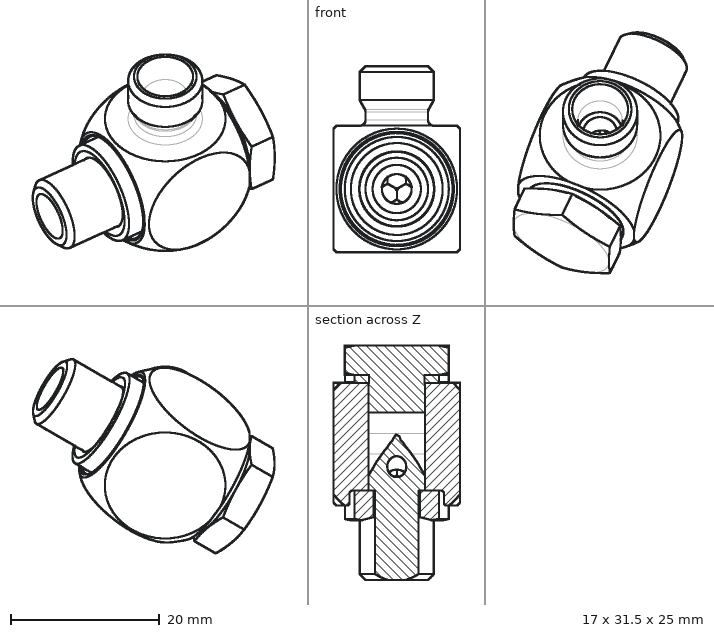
import cadquery as cq
import math


cube_size = 17.0
cube_half = cube_size / 2
back_y = 8.0
front_y = -cube_half
corner_ball_radius = 11.75
bolt_bore_diameter = 11.0

recess_diameter = 15.0
recess_depth = 2.02
recess_chamfer = 0.2
recess_fillet = 0.4
recess_floor_y = front_y + recess_depth

port_diameter = 10.0
port_height = 8.0
port_chamfer = 0.8
port_thread_length = 4.57
neck_diameter = 8.4
neck_top_depth = 6.0
neck_fillet = 0.75
port_root_fillet = 0.8
port_mouth_diameter = 7.5
pipe_bore_diameter = 6.0
pipe_bore_depth = 7.0
port_bore_diameter = 4.5
pipe_seat_half_angle = 12.0
port_top_z = cube_half + port_height

hex_width = 14.0
hex_thickness = 4.0
hex_chamfer_angle = 15.0
shank_diameter = 10.95
thread_diameter = 10.0
thread_end_chamfer = 0.8
back_ring_thickness = 1.0
bolt_front_y = -18.5
hex_front_y = back_y + back_ring_thickness
hex_back_y = hex_front_y + hex_thickness

bolt_neck_diameter = 8.0
bolt_neck_back_y = 4.0
bolt_neck_cone_angle = 20.0
bolt_neck_arc_radius = 8.0
bolt_neck_arc_back_y = 1.15

bolt_mouth_diameter = 6.5
bolt_mouth_half_angle = 9.0
bolt_passage_diameter = 4.0
passage_tip_y = -3.62
drill_half_angle = 59.0
cross_hole_diameter = 2.5
cross_hole_root_y = -5.15
cross_hole_tilt = 25.0
cross_hole_count = 3

ring_diameter = 14.0
front_ring_inner_diameter = 10.1
front_ring_lip_diameter = 12.35
front_ring_protrusion = 2.0
front_ring_bevel = 0.2
front_ring_funnel_angle = 70.0
back_ring_chamfer = 0.1


def tan(degrees):
    return math.tan(math.radians(degrees))


def turned(profile):
    """Close a (radius, height) profile and revolve it about the upright axis of its workplane."""
    return profile.close().revolve(360, (0, 0, 0), (0, 1, 0))


def round_solid_y(points):
    """Solid of revolution about the Y axis from (radius, y) corners."""
    return turned(cq.Workplane("XY").polyline(points))


def round_solid_z(points):
    """Solid of revolution about the Z axis from (radius, z) corners."""
    return turned(cq.Workplane("XZ").polyline(points))


def make_port():
    """Port stub: root fillet, neck, cone up to the thread and chamfered end."""
    radius = port_diameter / 2
    neck_radius = neck_diameter / 2
    neck_top_z = port_top_z - neck_top_depth
    thread_bottom_z = port_top_z - port_thread_length

    flare = math.atan2(radius - neck_radius, thread_bottom_z - neck_top_z)
    tangent = neck_fillet * math.tan(flare / 2)
    arc_centre_r = neck_radius + neck_fillet
    arc_start_z = neck_top_z - tangent

    def on_arc(angle):
        return (arc_centre_r - neck_fillet * math.cos(angle), arc_start_z + neck_fillet * math.sin(angle))

    root_radius = neck_radius + port_root_fillet
    root_top_z = cube_half + port_root_fillet
    root_mid = port_root_fillet * math.sqrt(0.5)
    profile = (
        cq.Workplane("XZ")
        .moveTo(0, 0)
        .lineTo(root_radius, 0)
        .lineTo(root_radius, cube_half)
        .threePointArc((root_radius - root_mid, root_top_z - root_mid), (neck_radius, root_top_z))
        .lineTo(neck_radius, arc_start_z)
        .threePointArc(on_arc(flare / 2), on_arc(flare))
        .lineTo(radius, thread_bottom_z)
        .lineTo(radius, port_top_z - port_chamfer)
        .lineTo(radius - port_chamfer, port_top_z)
        .lineTo(0, port_top_z)
    )
    return turned(profile)


def make_port_passage():
    """Conical pipe seat, pipe bore with its stop, and the bore down to the bolt."""
    mouth_radius = port_mouth_diameter / 2
    pipe_radius = pipe_bore_diameter / 2
    bore_radius = port_bore_diameter / 2
    cone_depth = (mouth_radius - pipe_radius) / tan(pipe_seat_half_angle)
    return round_solid_z([
        (0, 0),
        (bore_radius, 0),
        (bore_radius, port_top_z - pipe_bore_depth),
        (pipe_radius, port_top_z - pipe_bore_depth),
        (pipe_radius, port_top_z - cone_depth),
        (mouth_radius, port_top_z),
        (0, port_top_z),
    ])


def make_bolt_passage():
    """Bolt bore through the housing with the filleted front recess."""
    bore_radius = bolt_bore_diameter / 2
    recess_radius = recess_diameter / 2
    fillet_mid = recess_fillet * (1 - math.sqrt(0.5))
    profile = (
        cq.Workplane("XY")
        .moveTo(0, back_y)
        .lineTo(bore_radius, back_y)
        .lineTo(bore_radius, recess_floor_y)
        .lineTo(recess_radius - recess_fillet, recess_floor_y)
        .threePointArc(
            (recess_radius - fillet_mid, recess_floor_y - fillet_mid),
            (recess_radius, recess_floor_y - recess_fillet),
        )
        .lineTo(recess_radius, front_y + recess_chamfer)
        .lineTo(recess_radius + recess_chamfer, front_y)
        .lineTo(0, front_y)
    )
    return turned(profile)


def make_housing():
    block = cq.Workplane("XY").box(cube_size, back_y - front_y, cube_size)
    block = block.translate((0, (back_y + front_y) / 2, 0))
    block = block.intersect(cq.Workplane("XY").sphere(corner_ball_radius))
    return block.union(make_port()).cut(make_bolt_passage()).cut(make_port_passage())


def make_hex_head():
    """Hexagon with two corners on the Z axis, both ends chamfered."""
    corner_radius = hex_width / math.sqrt(3)
    flat_radius = hex_width / 2
    chamfer = (corner_radius - flat_radius) * tan(hex_chamfer_angle)
    prism = (
        cq.Workplane("XZ", origin=(0, hex_back_y, 0))
        .polygon(6, 2 * corner_radius)
        .extrude(hex_thickness)
        .rotate((0, 0, 0), (0, 1, 0), 90)
    )
    chamfer_shape = round_solid_y([
        (0, hex_front_y),
        (flat_radius, hex_front_y),
        (corner_radius, hex_front_y + chamfer),
        (corner_radius, hex_back_y - chamfer),
        (flat_radius, hex_back_y),
        (0, hex_back_y),
    ])
    return prism.intersect(chamfer_shape)


def make_shank():
    """Shank with a reduced neck and a cone in front of it, stepping down to the chamfered thread."""
    shank_radius = shank_diameter / 2
    thread_radius = thread_diameter / 2
    neck_radius = bolt_neck_diameter / 2
    cone_angle = math.radians(bolt_neck_cone_angle)

    def on_arc(angle):
        return (
            neck_radius + bolt_neck_arc_radius * (1 - math.cos(angle)),
            bolt_neck_arc_back_y - bolt_neck_arc_radius * math.sin(angle),
        )

    cone_back_radius, cone_back_y = on_arc(cone_angle)
    cone_length = (shank_radius - cone_back_radius) / math.tan(cone_angle)
    profile = (
        cq.Workplane("XY")
        .moveTo(0, hex_front_y)
        .lineTo(shank_radius, hex_front_y)
        .lineTo(shank_radius, bolt_neck_back_y)
        .lineTo(neck_radius, bolt_neck_back_y)
        .lineTo(neck_radius, bolt_neck_arc_back_y)
        .threePointArc(on_arc(cone_angle / 2), (cone_back_radius, cone_back_y))
        .lineTo(shank_radius, cone_back_y - cone_length)
        .lineTo(shank_radius, recess_floor_y)
        .lineTo(thread_radius, recess_floor_y)
        .lineTo(thread_radius, bolt_front_y + thread_end_chamfer)
        .lineTo(thread_radius - thread_end_chamfer, bolt_front_y)
        .lineTo(0, bolt_front_y)
    )
    return turned(profile)


def make_blind_passage():
    """Blind bore from the bolt end: conical mouth and drill-point bottom."""
    mouth_radius = bolt_mouth_diameter / 2
    passage_radius = bolt_passage_diameter / 2
    cone_depth = (mouth_radius - passage_radius) / tan(bolt_mouth_half_angle)
    point_length = passage_radius / tan(drill_half_angle)
    return round_solid_y([
        (0, bolt_front_y),
        (mouth_radius, bolt_front_y),
        (passage_radius, bolt_front_y + cone_depth),
        (passage_radius, passage_tip_y - point_length),
        (0, passage_tip_y),
    ])


def make_bolt():
    bolt = make_hex_head().union(make_shank()).cut(make_blind_passage())
    cross_hole = (
        cq.Workplane("XY")
        .circle(cross_hole_diameter / 2)
        .extrude(shank_diameter)
        .rotate((0, 0, 0), (1, 0, 0), -cross_hole_tilt)
        .translate((0, cross_hole_root_y, 0))
    )
    for index in range(cross_hole_count):
        bolt = bolt.cut(cross_hole.rotate((0, 0, 0), (0, 1, 0), index * 360 / cross_hole_count))
    return bolt


def make_front_ring():
    """Ring seated in the front recess, with a sharp front lip around a conical funnel."""
    outer_radius = ring_diameter / 2
    inner_radius = front_ring_inner_diameter / 2
    lip_radius = front_ring_lip_diameter / 2
    lip_y = front_y - front_ring_protrusion
    funnel_depth = (lip_radius - inner_radius) / tan(front_ring_funnel_angle)
    return round_solid_y([
        (inner_radius, recess_floor_y),
        (outer_radius, recess_floor_y),
        (outer_radius, lip_y + front_ring_bevel),
        (lip_radius, lip_y),
        (inner_radius, lip_y + funnel_depth),
    ])


def make_back_ring():
    """Washer between the hexagon and the housing, chamfered on the housing side."""
    outer_radius = ring_diameter / 2
    inner_radius = shank_diameter / 2
    return round_solid_y([
        (inner_radius, back_y),
        (outer_radius - back_ring_chamfer, back_y),
        (outer_radius, back_y + back_ring_chamfer),
        (outer_radius, hex_front_y),
        (inner_radius, hex_front_y),
    ])


housing = make_housing()
bolt = make_bolt()
front_ring = make_front_ring()
back_ring = make_back_ring()

result = cq.Compound.makeCompound([housing.val(), bolt.val(), front_ring.val(), back_ring.val()])